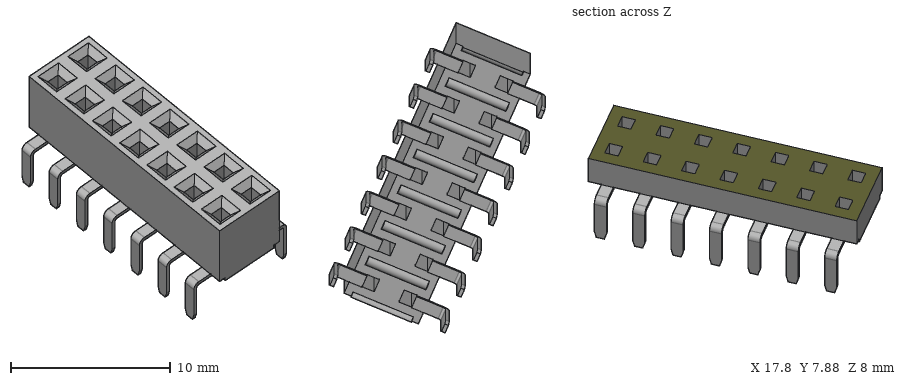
import cadquery as cq

PITCH = 17.78 / 7
COLUMNS = 7
ROWS = 2

HOUSING_LENGTH = COLUMNS * PITCH
HOUSING_WIDTH = ROWS * PITCH
HOUSING_HEIGHT = 4.71

HOLE_SIDE = 0.85
MOUTH_SIDE = 1.75
FUNNEL_DEPTH = 0.45

RIB_DEPTH = 0.27
RIB_WIDTH = 0.6
RIB_LENGTH = 4.12

PIN_SPAN = 7.88
PIN_DROP = 3.29
PIN_WIDTH = 0.8
PIN_THICKNESS = 0.25
BEND_RADIUS = 0.43
TIP_WIDTH = 0.53
TIP_LENGTH = 0.48


def centred_positions(count):
    """Positions spaced one pitch apart and centred on zero."""
    return [(i - (count - 1) / 2) * PITCH for i in range(count)]


COLUMN_X = centred_positions(COLUMNS)
ROW_Y = centred_positions(ROWS)
RIB_X = centred_positions(COLUMNS + 1)


def make_housing():
    return cq.Workplane("XY").box(
        HOUSING_LENGTH, HOUSING_WIDTH, HOUSING_HEIGHT, centered=(True, True, False)
    )


def make_rib(x):
    """Round-bottomed rib running across the housing."""
    return (
        cq.Workplane("XZ", origin=(x, RIB_LENGTH / 2, 0))
        .moveTo(-RIB_WIDTH / 2, 0)
        .threePointArc((0, -RIB_DEPTH), (RIB_WIDTH / 2, 0))
        .close()
        .extrude(RIB_LENGTH)
    )


def make_socket(x, y):
    """Square hole through the housing with a funnel at the top."""
    hole = (
        cq.Workplane("XY", origin=(x, y, 0))
        .rect(HOLE_SIDE, HOLE_SIDE)
        .extrude(HOUSING_HEIGHT)
    )
    funnel = (
        cq.Workplane("XY", origin=(x, y, HOUSING_HEIGHT))
        .rect(MOUTH_SIDE, MOUTH_SIDE)
        .workplane(offset=-FUNNEL_DEPTH)
        .rect(HOLE_SIDE, HOLE_SIDE)
        .loft(ruled=True)
    )
    return hole.union(funnel)


def make_pin(x):
    """Pin on the +Y side: out from the socket edge under the housing, then bent down to a tapered tip."""
    inner_y = (PITCH + HOLE_SIDE) / 2
    outer_y = PIN_SPAN / 2
    strip = (
        cq.Workplane("YZ", origin=(x - PIN_WIDTH / 2, 0, 0))
        .moveTo(inner_y, 0)
        .lineTo(outer_y - BEND_RADIUS, 0)
        .radiusArc((outer_y, -BEND_RADIUS), BEND_RADIUS)
        .lineTo(outer_y, -PIN_DROP)
        .lineTo(outer_y - PIN_THICKNESS, -PIN_DROP)
        .lineTo(outer_y - PIN_THICKNESS, -BEND_RADIUS)
        .radiusArc((outer_y - BEND_RADIUS, -PIN_THICKNESS), PIN_THICKNESS - BEND_RADIUS)
        .lineTo(inner_y, -PIN_THICKNESS)
        .close()
        .extrude(PIN_WIDTH)
    )
    outline = (
        cq.Workplane("XZ", origin=(x, outer_y, 0))
        .moveTo(-PIN_WIDTH / 2, 0)
        .lineTo(PIN_WIDTH / 2, 0)
        .lineTo(PIN_WIDTH / 2, TIP_LENGTH - PIN_DROP)
        .lineTo(TIP_WIDTH / 2, -PIN_DROP)
        .lineTo(-TIP_WIDTH / 2, -PIN_DROP)
        .lineTo(-PIN_WIDTH / 2, TIP_LENGTH - PIN_DROP)
        .close()
        .extrude(outer_y)
    )
    return strip.intersect(outline)


housing = make_housing()
rib_limits = housing.translate((0, 0, -HOUSING_HEIGHT))
result = housing

for rib_x in RIB_X:
    result = result.union(make_rib(rib_x).intersect(rib_limits))

for column_x in COLUMN_X:
    for row_y in ROW_Y:
        result = result.cut(make_socket(column_x, row_y))
    pin = make_pin(column_x)
    result = result.union(pin).union(pin.mirror("XZ"))